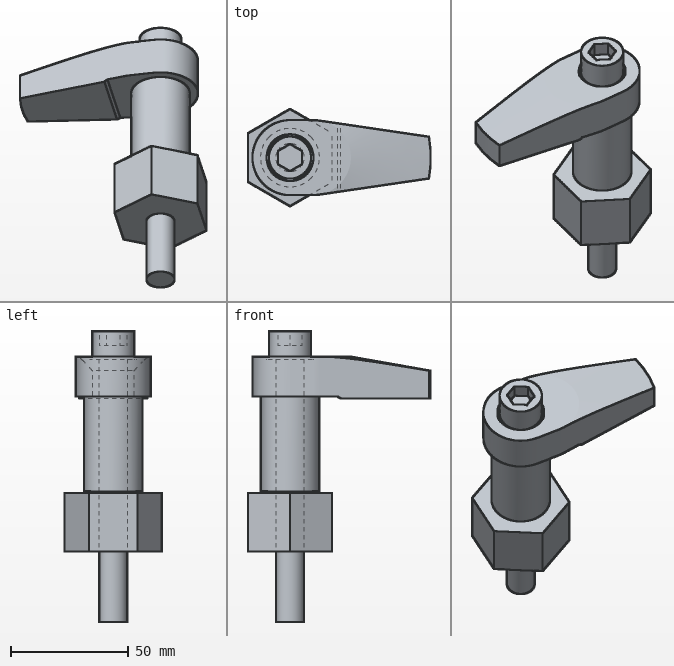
import cadquery as cq
import math

overall_height = 124.0
nut_bottom = 30.0
nut_height = 25.0
collar_height = 0.6
sleeve_length = 40.4
lever_thickness = 17.0
screw_head_height = 12.0
nut_top = nut_bottom + nut_height
sleeve_bottom = nut_top + collar_height
lever_bottom = sleeve_bottom + sleeve_length
lever_top = lever_bottom + lever_thickness
head_seat = overall_height - screw_head_height

screw_diameter = 12.0
head_diameter = 18.0
socket_across_flats = 10.0
socket_depth = 6.2

nut_across_flats = 36.0
collar_diameter = 19.5

sleeve_diameter = 25.0
recess_diameter = 20.0
hub_radius = 16.0
hub_center_offset = 10.0
handle_radius = 50.0
tip_half_width = 8.9
top_slope = 10.0
pad_start = 20.2
pad_drop = 0.9
pad_ramp = 1.4


def hexagon(across_flats, height, bottom):
    """Hexagonal prism with two corners on the Y axis."""
    corner_diameter = across_flats / math.cos(math.radians(30))
    prism = cq.Workplane("XY").polygon(6, corner_diameter).extrude(height)
    return prism.rotate((0, 0, 0), (0, 0, 1), 30).translate((0, 0, bottom))


def cylinder(diameter, bottom, top):
    return cq.Workplane("XY").workplane(offset=bottom).circle(diameter / 2).extrude(top - bottom)


def make_screw():
    shank = cylinder(screw_diameter, 0, head_seat)
    head = cylinder(head_diameter, head_seat, overall_height)
    socket = hexagon(socket_across_flats, socket_depth, overall_height - socket_depth)
    return shank.union(head).cut(socket)


def make_nut():
    body = hexagon(nut_across_flats, nut_height, nut_bottom)
    collar = cylinder(collar_diameter, nut_top, sleeve_bottom)
    return body.union(collar).cut(cylinder(screw_diameter, nut_bottom, sleeve_bottom))


def make_handle_plan():
    """Prism whose straight sides leave the hub end tangentially and close in an arc."""
    tip_angle = math.asin(tip_half_width / handle_radius)
    tangent_angle = tip_angle + math.acos(hub_radius / handle_radius)
    tangent_x = hub_center_offset + hub_radius * math.cos(tangent_angle)
    tangent_y = hub_radius * math.sin(tangent_angle)
    tip_x = hub_center_offset + handle_radius * math.cos(tip_angle)
    return (
        cq.Workplane("XY").workplane(offset=lever_bottom - pad_drop)
        .moveTo(tangent_x, -tangent_y)
        .lineTo(tip_x, -tip_half_width)
        .threePointArc((hub_center_offset + handle_radius, 0), (tip_x, tip_half_width))
        .lineTo(tangent_x, tangent_y)
        .close()
        .extrude(lever_thickness + pad_drop)
    )


def make_handle_envelope():
    """Turned body about the hub end center that gives the handle its conical top."""
    tip_drop = (handle_radius - hub_radius) * math.tan(math.radians(top_slope))
    bottom = lever_bottom - pad_drop
    return (
        cq.Workplane("XZ")
        .moveTo(0, bottom)
        .lineTo(handle_radius, bottom)
        .lineTo(handle_radius, lever_top - tip_drop)
        .lineTo(hub_radius, lever_top)
        .lineTo(0, lever_top)
        .close()
        .revolve(360, (0, 0, 0), (0, 1, 0))
        .translate((hub_center_offset, 0, 0))
    )


def make_underside_relief():
    """Wedge-ended block that raises the underside beside the hub."""
    bottom = lever_bottom - pad_drop
    return (
        cq.Workplane("XZ")
        .moveTo(0, bottom)
        .lineTo(pad_start + pad_ramp, bottom)
        .lineTo(pad_start, lever_bottom)
        .lineTo(0, lever_bottom)
        .close()
        .extrude(hub_radius, both=True)
    )


def make_lever():
    hub = (
        cq.Workplane("XY").workplane(offset=lever_bottom)
        .center(hub_center_offset / 2, 0)
        .slot2D(hub_center_offset + 2 * hub_radius, 2 * hub_radius)
        .extrude(lever_thickness)
    )
    handle = make_handle_plan().intersect(make_handle_envelope()).cut(make_underside_relief())
    sleeve = cylinder(sleeve_diameter, sleeve_bottom, lever_bottom)
    bore = cylinder(screw_diameter, sleeve_bottom, lever_top)
    recess = cylinder(recess_diameter, head_seat, lever_top)
    return hub.union(handle).union(sleeve).cut(bore).cut(recess)


screw = make_screw()
nut = make_nut()
lever = make_lever()

result = cq.Compound.makeCompound([screw.val(), nut.val(), lever.val()])